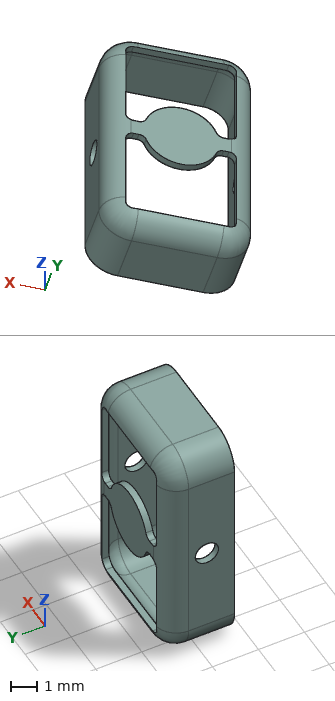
import cadquery as cq

width = 6.0
depth = 3.0
height = 10.2

wall = 0.3
outer_corner_radius = 1.3
outer_edge_radius = 1.0
inner_corner_radius = outer_corner_radius - wall
inner_edge_radius = outer_edge_radius - wall

window_margin = 0.8
window_width = width - 2 * window_margin
window_height = height - 2 * window_margin
disc_diameter = 3.0
bar_height = 0.69
window_corner_radius = 0.31

hole_diameter = 1.0
hole_distance_from_rim = 1.2


def rounded_block(block_width, block_height, block_depth, corner_radius, edge_radius):
    """Block from Y = 0 to +Y with rounded corners and a rounded +Y edge."""
    return (
        cq.Workplane("XZ")
        .rect(block_width, block_height)
        .extrude(-block_depth)
        .edges("|Y")
        .fillet(corner_radius)
        .faces(">Y")
        .edges()
        .fillet(edge_radius)
    )


def make_shell():
    outside = rounded_block(width, height, depth, outer_corner_radius, outer_edge_radius)
    cavity = rounded_block(
        width - 2 * wall, height - 2 * wall, depth - wall, inner_corner_radius, inner_edge_radius
    )
    return outside.cut(cavity)


def make_window():
    """Two rounded openings left above and below the bar and disc."""
    opening = cq.Workplane("XZ").rect(window_width, window_height).extrude(-depth)
    bar = cq.Workplane("XZ").rect(window_width, bar_height).extrude(-depth)
    disc = cq.Workplane("XZ").circle(disc_diameter / 2).extrude(-depth)
    return opening.cut(bar.union(disc)).edges("|Y").fillet(window_corner_radius)


def make_cross_hole():
    return (
        cq.Workplane("YZ")
        .center(hole_distance_from_rim, 0)
        .circle(hole_diameter / 2)
        .extrude(width / 2, both=True)
    )


result = make_shell().cut(make_window()).cut(make_cross_hole())